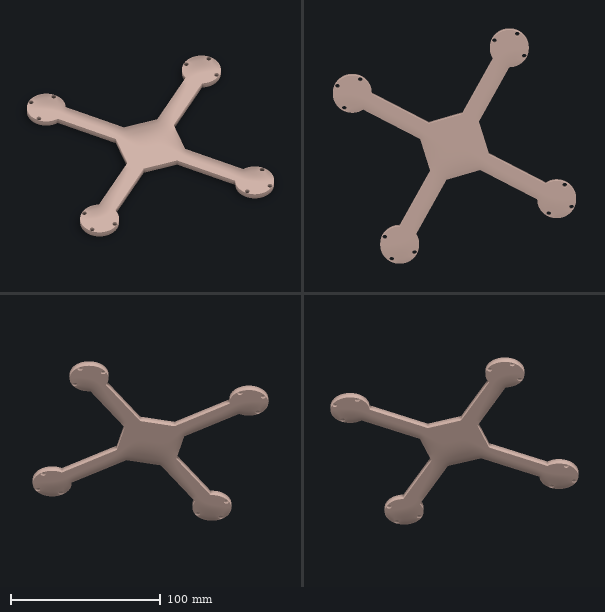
import cadquery as cq

UPRIGHT = (True, True, False)

span = 136.0
thickness = 4.0
body_side = 40.9
arm_width = 12.2

pad_diameter = 26.1
pad_spacing = span - pad_diameter
pad_offset = pad_spacing / 2

hole_diameter = 3.3
hole_offset = 8.0


def make_body():
    return cq.Workplane("XY").box(body_side, body_side, thickness, centered=UPRIGHT)


def make_arm(angle):
    """Bar joining two opposite pads through the center."""
    length = pad_spacing * 2 ** 0.5
    bar = cq.Workplane("XY").box(length, arm_width, thickness, centered=UPRIGHT)
    return bar.rotate((0, 0, 0), (0, 0, 1), angle)


def make_pads():
    return (
        cq.Workplane("XY")
        .rect(pad_spacing, pad_spacing, forConstruction=True)
        .vertices()
        .circle(pad_diameter / 2)
        .extrude(thickness)
    )


def hole_centers():
    """Skip the pad corner that faces the center, where the arm joins."""
    centers = []
    for side_x in (-1, 1):
        for side_y in (-1, 1):
            for step_x, step_y in ((side_x, side_y), (side_x, -side_y), (-side_x, side_y)):
                x = side_x * pad_offset + step_x * hole_offset
                y = side_y * pad_offset + step_y * hole_offset
                centers.append((x, y))
    return centers


def make_holes():
    return (
        cq.Workplane("XY")
        .pushPoints(hole_centers())
        .circle(hole_diameter / 2)
        .extrude(thickness)
    )


frame = make_body().union(make_pads())
for arm_angle in (45, -45):
    frame = frame.union(make_arm(arm_angle))

result = frame.cut(make_holes())